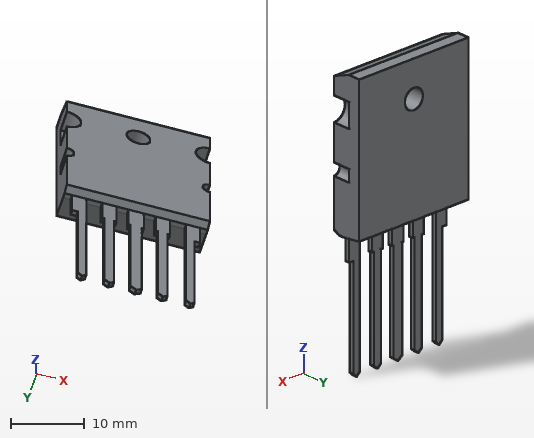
import cadquery as cq

body_width = 20.2
body_depth = 5.0
top_z = 46
body_height = 24.5
bottom_z = top_z - body_height

top_slope_depth = 2.95
top_slope_height = 1.15
front_draft_height = 0.5
back_draft_height = 0.4

hole_diameter = 3.3
hole_z = top_z - 6.03
notch_depth = 3.0
large_notch_diameter = 4.0
small_notch_diameter = 2.02
small_notch_z = top_z - 15.0

lead_front_y = 1.1
lead_thickness = 0.75
lead_embed = 0.9
tip_height = 0.6
shoulder_z = 17.4
raised_shoulder_z = 17.55
center_lead_width = 1.6
center_shoulder_width = 2.15
inner_lead_x = 3.75
inner_lead_width = 1.35
inner_shoulder_width = 2.02
outer_lead_x = 7.65
outer_lead_width = 1.2
outer_shoulder_width = 2.0
outer_shoulder_shift = (outer_shoulder_width - outer_lead_width) / 2


def make_body():
    """Extrude the side profile across the full width."""
    profile = [
        (0, bottom_z + front_draft_height),
        (0, top_z - top_slope_height),
        (top_slope_depth, top_z),
        (body_depth, top_z),
        (body_depth, bottom_z + back_draft_height),
        (lead_front_y + lead_thickness, bottom_z),
        (lead_front_y, bottom_z),
    ]
    return cq.Workplane("YZ").polyline(profile).close().extrude(body_width / 2, both=True)


def front_cylinder(x, z, diameter, depth):
    """Cylinder running back from the front face."""
    return cq.Workplane("XZ").center(x, z).circle(diameter / 2).extrude(-depth)


def make_lead(x, width, shoulder_x, shoulder_width, shoulder_bottom):
    """Pointed flat lead with a wider shoulder next to the body."""
    lead_top = bottom_z + lead_embed
    plane = cq.Workplane("XZ", origin=(0, lead_front_y, 0))
    blade_points = [
        (x, 0),
        (x + width / 2, tip_height),
        (x + width / 2, lead_top),
        (x - width / 2, lead_top),
        (x - width / 2, tip_height),
    ]
    blade = plane.polyline(blade_points).close().extrude(-lead_thickness)
    shoulder_height = lead_top - shoulder_bottom
    shoulder = (
        plane.center(shoulder_x, shoulder_bottom + shoulder_height / 2)
        .rect(shoulder_width, shoulder_height)
        .extrude(-lead_thickness)
    )
    return blade.union(shoulder)


result = make_body()
result = result.cut(front_cylinder(0, hole_z, hole_diameter, body_depth))

for side in (-1, 1):
    edge_x = side * body_width / 2
    result = result.cut(front_cylinder(edge_x, hole_z, large_notch_diameter, notch_depth))
    result = result.cut(front_cylinder(edge_x, small_notch_z, small_notch_diameter, notch_depth))

result = result.union(make_lead(0, center_lead_width, 0, center_shoulder_width, shoulder_z))

for side, inner_shoulder_z in ((-1, shoulder_z), (1, raised_shoulder_z)):
    inner_x = side * inner_lead_x
    result = result.union(
        make_lead(inner_x, inner_lead_width, inner_x, inner_shoulder_width, inner_shoulder_z)
    )
    outer_x = side * outer_lead_x
    outer_shoulder_x = side * (outer_lead_x + outer_shoulder_shift)
    result = result.union(
        make_lead(outer_x, outer_lead_width, outer_shoulder_x, outer_shoulder_width, shoulder_z)
    )